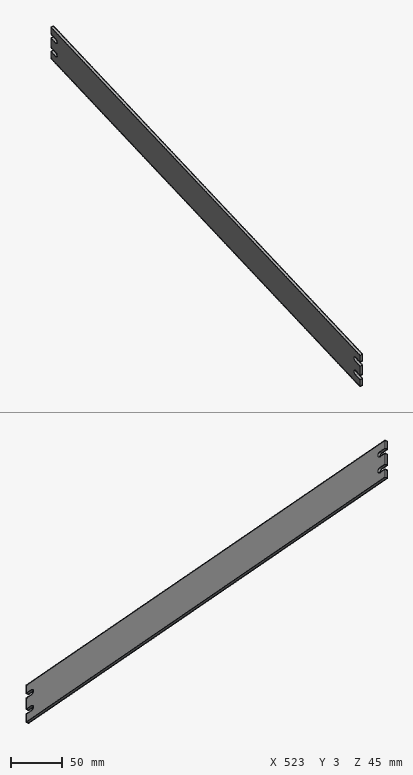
import cadquery as cq

length = 523.0
thickness = 3.0
height = 45.0

slot_depth = 10.5
slot_width = 6.0
slot_spacing = 19.5


def make_panel():
    return cq.Workplane("XZ").rect(length, height).extrude(thickness / 2, both=True)


def make_end_slots():
    """Obround through cutters, each centred on a short end of the panel."""
    return (
        cq.Workplane("XZ")
        .rarray(length, slot_spacing, 2, 2)
        .slot2D(2 * slot_depth, slot_width)
        .extrude(thickness / 2, both=True)
    )


result = make_panel().cut(make_end_slots())